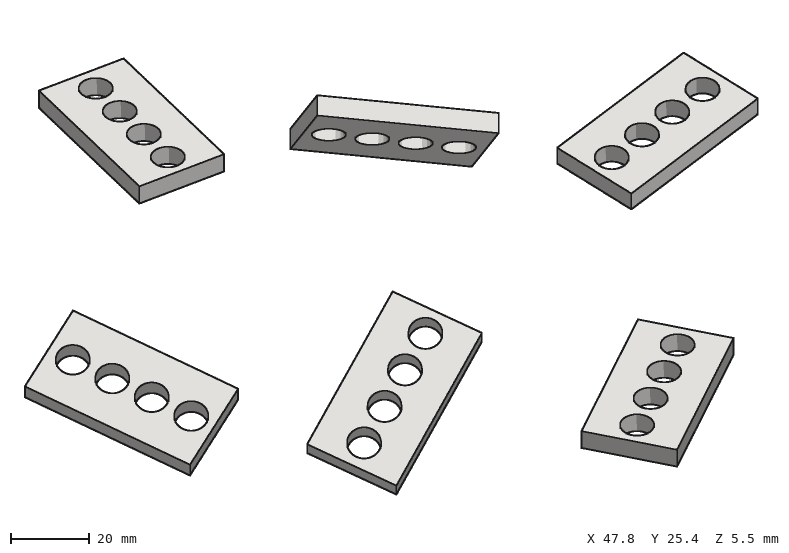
import cadquery as cq

length = 47.75
width = 25.4
thickness = 5.5

hole_diameter = 8.65
hole_count = 4
hole_pitch = 11.4
row_offset_x = 0.15


def make_plate():
    return cq.Workplane("XY").box(length, width, thickness)


def cut_hole_row(plate):
    return (
        plate.faces(">Z")
        .workplane()
        .center(row_offset_x, 0)
        .rarray(hole_pitch, 0.5, hole_count, 1)
        .hole(hole_diameter)
    )


result = cut_hole_row(make_plate())